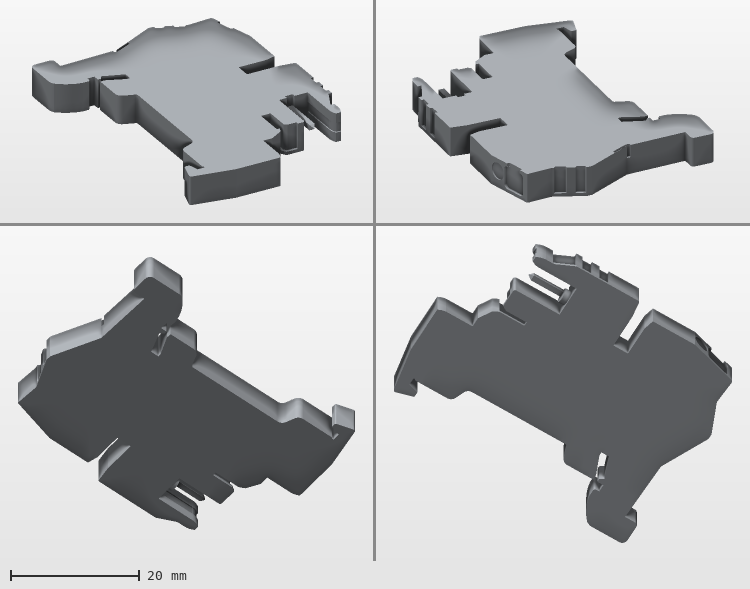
import cadquery as cq

LENGTH = 47.4
HEIGHT = 36.5
THICKNESS = 5.05
MID_Z = THICKNESS / 2

TOP_LEFT_Y = 34.7
FOOT_X = 1.85
FOOT_TOP = 4.13
KNEE = (3.9, 14.3)
TIP_LOW = (0.0, 22.15)
TIP_HIGH = (0.0, 23.05)
WAIST = (2.15, 28.15)
SLOPE_START = (FOOT_X, 32.45)
SLOPE_END = (10.05, TOP_LEFT_Y)
GAP_LEFT = 18.2
GAP_RIGHT = 20.85
GAP_FLOOR = 28.03
RAIL_Y = 6.95
RAIL_RECESS_Y = 9.85
RAMP_START = (32.7, HEIGHT)
RAMP_END = (35.9, 35.05)
ARM_X = 39.0
SOCKET_X = 30.75
SOCKET_TOP = 33.3
SOCKET_BOTTOM = 28.15
ARM_ARC_START = (37.55, SOCKET_TOP)
ARM_ARC_END = (ARM_X, 33.7)
SLIT_X = 34.45
SLIT_TOP = 24.37
SLIT_BOTTOM = 23.7
SHOULDER_Y = 19.45

RECESS_DEPTH = 0.47
RECESS_FLOOR = 0.55
GRIP_SPANS = ((23.15, 24.7), (25.95, 27.8))
GRIP_END_STEP = 0.4
KNEE_RECESS_FLOOR = 2.9
KNEE_RECESS_START = (2.6, 17.05)
KNEE_RECESS_END_Y = 13.65
RAMP_RECESS_DEPTH = 0.6
RAMP_RECESS_END_X = 36.1
TOP_RECESS_WIDTH = 1.7
TOP_RECESS_STARTS = (26.85, 29.9)
SLIT_RECESS_BOTTOM = 23.15
SLIT_RECESS_TOP = 26.9
SLIT_RECESS_CHAMFER = 0.45

LABEL_START_X = 2.85
LABEL_END_X = 7.1
LABEL_BOTTOM = 0.55
LABEL_TOP = 4.45
LABEL_CORNER = 0.65
LABEL_NOTCH_START_X = 3.6
LABEL_NOTCH_END_X = 6.5

DIMPLE_X = 8.6
DIMPLE_Z = 2.85
DIMPLE_DIAMETER = 2.85
DIMPLE_DEPTH = 0.25

PIN_Y = 30.5
PIN_TOP = 3.1
PIN_WIDTH = 0.95
PIN_START = 30.1
PIN_SHOULDER = 37.1
PIN_TIP = 37.75
PIN_TIP_WIDTH = 0.1
COLLAR_DIAMETER = 2.45
COLLAR_Z = 1.8
COLLAR_END = 31.72
PIN_NOTCH_BOTTOM = 29.6

GROOVE_DEPTH = 0.2
GROOVE_WIDTH = 1.7

RAIL_LEFT_FOOT = (17.3, RAIL_Y)
RAIL_LEFT_TOP = (18.3, RAIL_RECESS_Y)
RAIL_RIGHT_TOP = (36.32, RAIL_RECESS_Y)
RAIL_RIGHT_FOOT = (37.5, RAIL_Y)
HOOK_HEEL = (46.1, 3.55)
HOOK_TIP = (42.75, 4.5)
GAP_PEAK = (21.25, HEIGHT)
LARGE_RADIUS = 0.95
FOOT_TOP_RADIUS = 0.55
RAIL_RADIUS = 1.2
MEDIUM_RADIUS = 0.4
SMALL_RADIUS = 0.25


def slope_y(x):
    """Height of the upper left slope at the given x."""
    rise = (SLOPE_END[1] - SLOPE_START[1]) / (SLOPE_END[0] - SLOPE_START[0])
    return SLOPE_START[1] + rise * (x - SLOPE_START[0])


def make_body():
    outline = (
        cq.Workplane("XY")
        .moveTo(FOOT_X, 0)
        .lineTo(FOOT_X, FOOT_TOP)
        .lineTo(4.2, FOOT_TOP)
        .lineTo(*KNEE)
        .lineTo(*TIP_LOW)
        .lineTo(*TIP_HIGH)
        .lineTo(*WAIST)
        .lineTo(*SLOPE_START)
        .lineTo(*SLOPE_END)
        .lineTo(17.75, TOP_LEFT_Y)
        .lineTo(GAP_LEFT, 32.95)
        .lineTo(GAP_LEFT, GAP_FLOOR)
        .lineTo(GAP_RIGHT, GAP_FLOOR)
        .lineTo(GAP_RIGHT, 33.65)
        .lineTo(*GAP_PEAK)
        .lineTo(*RAMP_START)
        .lineTo(*RAMP_END)
        .lineTo(37.35, RAMP_END[1])
        .threePointArc((38.2, 34.9), (ARM_X, 34.55))
        .lineTo(*ARM_ARC_END)
        .threePointArc((38.25, 33.4), ARM_ARC_START)
        .lineTo(SOCKET_X, SOCKET_TOP)
        .lineTo(SOCKET_X, SOCKET_BOTTOM)
        .lineTo(ARM_X, SOCKET_BOTTOM)
        .lineTo(ARM_X, 24.85)
        .lineTo(38.15, SLIT_TOP)
        .lineTo(SLIT_X, SLIT_TOP)
        .lineTo(SLIT_X, SLIT_BOTTOM)
        .lineTo(ARM_X, SLIT_BOTTOM)
        .lineTo(39.95, 23.25)
        .lineTo(41.25, 21.05)
        .lineTo(41.25, SHOULDER_Y)
        .lineTo(46.05, SHOULDER_Y)
        .threePointArc((46.75, 19.3), (LENGTH, 19.0))
        .lineTo(LENGTH, 11.15)
        .lineTo(*HOOK_HEEL)
        .lineTo(*HOOK_TIP)
        .lineTo(42.75, 5.4)
        .lineTo(44.55, 5.9)
        .lineTo(44.55, 7.15)
        .lineTo(44.25, 7.15)
        .lineTo(44.1, RAIL_Y)
        .lineTo(*RAIL_RIGHT_FOOT)
        .lineTo(*RAIL_RIGHT_TOP)
        .lineTo(*RAIL_LEFT_TOP)
        .lineTo(*RAIL_LEFT_FOOT)
        .lineTo(11.75, RAIL_Y)
        .lineTo(11.75, 7.82)
        .lineTo(13.05, 10.95)
        .lineTo(13.05, 11.55)
        .lineTo(11.6, 11.55)
        .lineTo(10.35, 7.95)
        .lineTo(11.0, 7.5)
        .lineTo(11.0, RAIL_Y)
        .lineTo(9.9, RAIL_Y)
        .lineTo(9.9, 5.75)
        .lineTo(10.57, 5.7)
        .lineTo(10.8, 5.5)
        .lineTo(10.8, 4.35)
        .threePointArc((10.2, 2.35), (8.85, 0.4))
        .threePointArc((8.45, 0.15), (7.9, 0))
        .close()
    )
    return outline.extrude(THICKNESS)


def round_corners(body, radius, *corners):
    """Round the upright edges standing on the given outline corners."""
    for x, y in corners:
        edge = cq.selectors.NearestToPointSelector((x, y, MID_Z))
        body = body.edges("|Z").edges(edge).fillet(radius)
    return body


def recess_cutter(outline, floor):
    """Cutter with the given outline, from the recess floor up through the top face."""
    return cq.Workplane("XY").workplane(offset=floor).polyline(outline).close().extrude(THICKNESS - floor)


def edge_recess(path, shift, floor):
    """Cutter between a stretch of outline and its copy moved by shift."""
    moved = [(x + shift[0], y + shift[1]) for x, y in reversed(path)]
    return recess_cutter(path + moved, floor)


def box_between(low, high):
    size = [b - a for a, b in zip(low, high)]
    return cq.Workplane("XY").box(*size, centered=False).translate(low)


def cut_left_recesses(body):
    nose_run = WAIST[0] / (WAIST[1] - TIP_HIGH[1])
    for low, high in GRIP_SPANS:
        low_x, high_x = [(y - TIP_HIGH[1]) * nose_run for y in (low, high)]
        grip = [
            (low_x, low),
            (high_x, high),
            (high_x + GRIP_END_STEP, high - GRIP_END_STEP),
            (low_x + RECESS_DEPTH, low),
        ]
        body = body.cut(recess_cutter(grip, RECESS_FLOOR))
    knee_path = [KNEE_RECESS_START, KNEE, (KNEE[0], KNEE_RECESS_END_Y)]
    return body.cut(edge_recess(knee_path, (RECESS_DEPTH, 0), KNEE_RECESS_FLOOR))


def cut_slope(body):
    """Label field with a notch opening it to the top face, and a shallow round dimple beside it."""
    notch = [(x, slope_y(x)) for x in (LABEL_NOTCH_START_X, LABEL_NOTCH_END_X)]
    body = body.cut(edge_recess(notch, (0, -RECESS_DEPTH), LABEL_TOP))

    field = [(x, slope_y(x)) for x in (LABEL_START_X, LABEL_END_X)]
    label = edge_recess(field, (0, -RECESS_DEPTH), LABEL_BOTTOM)
    label = label.intersect(box_between((0, 0, 0), (LENGTH, HEIGHT, LABEL_TOP)))
    label = label.edges("|Y").fillet(LABEL_CORNER)
    body = body.cut(label)

    slope_plane = cq.Plane(
        origin=(DIMPLE_X, slope_y(DIMPLE_X), DIMPLE_Z),
        xDir=(0, 0, 1),
        normal=(SLOPE_START[1] - SLOPE_END[1], SLOPE_END[0] - SLOPE_START[0], 0),
    )
    dimple = cq.Workplane(slope_plane).circle(DIMPLE_DIAMETER / 2).extrude(-DIMPLE_DEPTH)
    return body.cut(dimple)


def cut_top_recesses(body):
    for start in TOP_RECESS_STARTS:
        path = [(start, HEIGHT), (start + TOP_RECESS_WIDTH, HEIGHT)]
        body = body.cut(edge_recess(path, (0, -RECESS_DEPTH), RECESS_FLOOR))
    ramp_path = [RAMP_START, RAMP_END, (RAMP_RECESS_END_X, RAMP_END[1])]
    return body.cut(edge_recess(ramp_path, (0, -RAMP_RECESS_DEPTH), RECESS_FLOOR))


def cut_slit_recess(body):
    """Widen the slit by a ledge that also runs up the end of the lower arm."""
    wall_x = ARM_X - RECESS_DEPTH
    top = SLIT_TOP + RECESS_DEPTH
    wide_x = SLIT_X - RECESS_DEPTH
    ledge = [
        (ARM_X, SLIT_RECESS_TOP),
        (wall_x, SLIT_RECESS_TOP),
        (wall_x, top + SLIT_RECESS_CHAMFER),
        (wall_x - SLIT_RECESS_CHAMFER, top),
        (wide_x, top),
        (wide_x, SLIT_RECESS_BOTTOM),
        (ARM_X, SLIT_RECESS_BOTTOM),
    ]
    return body.cut(recess_cutter(ledge, RECESS_FLOOR))


def cut_socket(body):
    """Groove the inside and end of the upper arm and notch the back wall above the pin."""
    groove_y = SOCKET_TOP + GROOVE_DEPTH
    groove_x = ARM_X - GROOVE_DEPTH
    groove = (
        cq.Workplane("XY")
        .workplane(offset=MID_Z - GROOVE_WIDTH / 2)
        .moveTo(SOCKET_X, SOCKET_TOP)
        .lineTo(SOCKET_X, groove_y)
        .lineTo(ARM_ARC_START[0], groove_y)
        .threePointArc((38.2, 33.55), (groove_x, ARM_ARC_END[1] + GROOVE_DEPTH))
        .lineTo(groove_x, RAMP_END[1])
        .lineTo(ARM_X, RAMP_END[1])
        .lineTo(ARM_X, SOCKET_TOP)
        .close()
        .extrude(GROOVE_WIDTH)
    )
    notch_low = (PIN_START, PIN_NOTCH_BOTTOM, MID_Z)
    notch_high = (SOCKET_X, PIN_Y + PIN_WIDTH / 2, THICKNESS)
    return body.cut(groove).cut(box_between(notch_low, notch_high))


def add_pin(body):
    half = PIN_WIDTH / 2
    pin_z = PIN_TOP - half
    shaft = box_between((PIN_START, PIN_Y - half, pin_z - half), (PIN_SHOULDER, PIN_Y + half, PIN_TOP))
    tip = (
        cq.Workplane("YZ", origin=(PIN_SHOULDER, PIN_Y, pin_z))
        .rect(PIN_WIDTH, PIN_WIDTH)
        .workplane(offset=PIN_TIP - PIN_SHOULDER)
        .rect(PIN_TIP_WIDTH, PIN_TIP_WIDTH)
        .loft()
    )
    collar = (
        cq.Workplane("YZ", origin=(SOCKET_X, PIN_Y, COLLAR_Z))
        .circle(COLLAR_DIAMETER / 2)
        .extrude(COLLAR_END - SOCKET_X)
    )
    return body.union(collar).union(shaft).union(tip)


body = make_body()
body = round_corners(body, LARGE_RADIUS, (FOOT_X, 0), WAIST)
body = round_corners(body, FOOT_TOP_RADIUS, (FOOT_X, FOOT_TOP))
body = round_corners(body, RAIL_RADIUS, RAIL_LEFT_FOOT, RAIL_RIGHT_TOP, RAIL_RIGHT_FOOT)
body = round_corners(body, MEDIUM_RADIUS, HOOK_HEEL, (ARM_X, SOCKET_BOTTOM), RAIL_LEFT_TOP)
body = round_corners(body, SMALL_RADIUS, SLOPE_START, GAP_PEAK, HOOK_TIP)
body = cut_left_recesses(body)
body = cut_slope(body)
body = cut_top_recesses(body)
body = cut_slit_recess(body)
body = cut_socket(body)
result = add_pin(body)